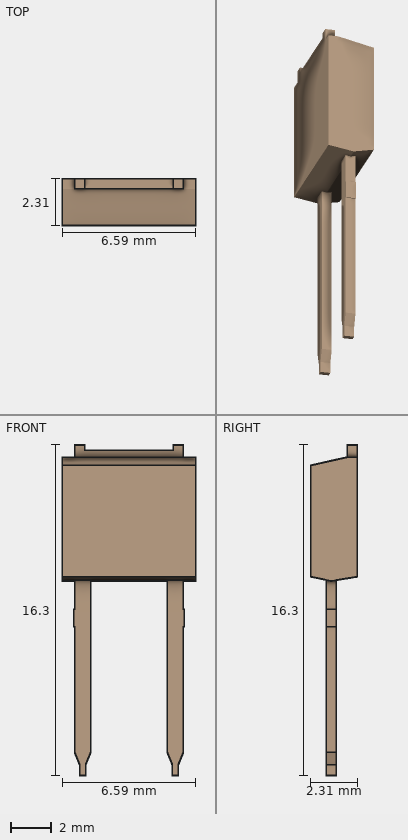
import cadquery as cq

body_width = 6.59
body_depth = 2.31
body_top = 15.66
front_top = 15.25
bottom_edge = 9.77
keel_bottom = 9.56

rail_top = 16.0
rail_depth = 0.5
tab_top = 16.26
tab_width = 0.5

lead_spacing = 4.55
lead_width = 0.8
lead_thickness = 0.5
bump_height = 0.05
bump_bottom = 7.32
bump_top = 8.18
taper_top = 1.14
taper_bottom = 0.54
tip_width = 0.31

lead_center_y = 1.02
lead_back = lead_center_y + lead_thickness / 2
rail_front = body_depth - rail_depth
rail_width = lead_spacing + lead_width


def make_body():
    """Side profile extruded across the full width."""
    profile = [
        (0, bottom_edge),
        (lead_center_y, keel_bottom),
        (body_depth, bottom_edge),
        (body_depth, body_top),
        (rail_front, body_top),
        (0, front_top),
    ]
    return cq.Workplane("YZ").polyline(profile).close().extrude(body_width / 2, both=True)


def make_rail():
    """Low rail whose ends rise into tabs."""
    outer = rail_width / 2
    inner = outer - tab_width
    outline = [
        (-outer, front_top),
        (outer, front_top),
        (outer, tab_top),
        (inner, tab_top),
        (inner, rail_top),
        (-inner, rail_top),
        (-inner, tab_top),
        (-outer, tab_top),
    ]
    plane = cq.Workplane("XZ", origin=(0, body_depth, 0))
    return plane.polyline(outline).close().extrude(rail_depth)


def make_lead(side):
    """One lead; side is -1 for left and 1 for right."""
    center = lead_spacing / 2
    inner = center - lead_width / 2
    outer = center + lead_width / 2
    half_tip = tip_width / 2
    outline = [
        (inner, bottom_edge),
        (inner, taper_top),
        (center - half_tip, taper_bottom),
        (center - half_tip, 0),
        (center + half_tip, 0),
        (center + half_tip, taper_bottom),
        (outer, taper_top),
        (outer, bump_bottom),
        (outer + bump_height, bump_bottom),
        (outer + bump_height, bump_top),
        (outer, bump_top),
        (outer, bottom_edge),
    ]
    points = [(side * x, z) for x, z in outline]
    plane = cq.Workplane("XZ", origin=(0, lead_back, 0))
    return plane.polyline(points).close().extrude(lead_thickness)


result = make_body().union(make_rail())
for side in (-1, 1):
    result = result.union(make_lead(side))